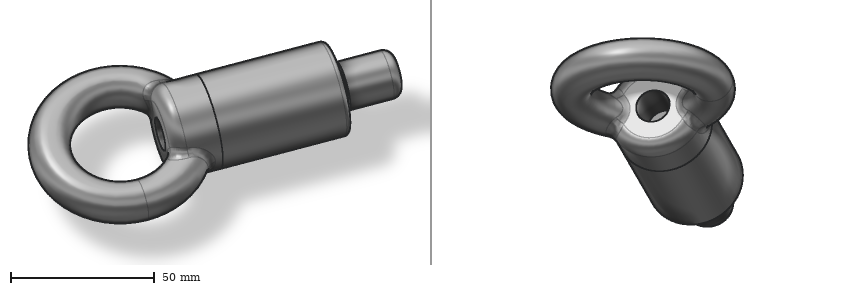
import cadquery as cq

overall_length = 133.0

ring_outer_radius = 31.99
ring_tube_radius = 7.3
ring_mean_radius = ring_outer_radius - ring_tube_radius

barrel_radius = 17.0
cap_length = 17.4
sleeve_edge_fillet = 2.0
cap_edge_fillet = 5.0
cap_bore_diameter = 12.0
ring_root_fillet = 4.0

neck_radius = 6.0
neck_length = 2.1
nose_radius = 8.8
nose_fillet = 4.0

nose_end = overall_length - ring_outer_radius
nose_length = 19.8
nose_start = nose_end - nose_length
sleeve_end = nose_start - neck_length
joint = ring_outer_radius
cap_start = joint - cap_length


def cylinder_y(radius, start, end):
    """Cylinder along +Y between two stations."""
    plane = cq.Workplane("XZ", origin=(0, start, 0))
    return plane.circle(radius).extrude(start - end)


def make_sleeve():
    """Sleeve with its necked, rounded nose."""
    barrel = cylinder_y(barrel_radius, joint, sleeve_end)
    barrel = barrel.faces(">Y").edges().fillet(sleeve_edge_fillet)
    neck = cylinder_y(neck_radius, sleeve_end, nose_start)
    nose = cylinder_y(nose_radius, nose_start, nose_end)
    nose = nose.faces(">Y").edges().fillet(nose_fillet)
    return barrel.union(neck).union(nose)


def make_eye():
    """Bored end cap with the lifting ring blended into its sides."""
    cap = cylinder_y(barrel_radius, cap_start, joint)
    cap = cap.faces("<Y").edges().fillet(cap_edge_fillet)
    ring = cq.Workplane(cq.Solid.makeTorus(ring_mean_radius, ring_tube_radius))
    eye = cap.union(ring)

    root_zone = cq.selectors.BoxSelector(
        (-barrel_radius, cap_start, -ring_tube_radius),
        (barrel_radius, joint, ring_tube_radius),
    )
    root_edges = eye.edges(root_zone)
    eye = root_edges.edges("%BSPLINE").fillet(ring_root_fillet)

    bore = cylinder_y(cap_bore_diameter / 2, cap_start, joint)
    return eye.cut(bore)


sleeve = make_sleeve()
eye = make_eye()
result = cq.Compound.makeCompound([sleeve.val(), eye.val()])